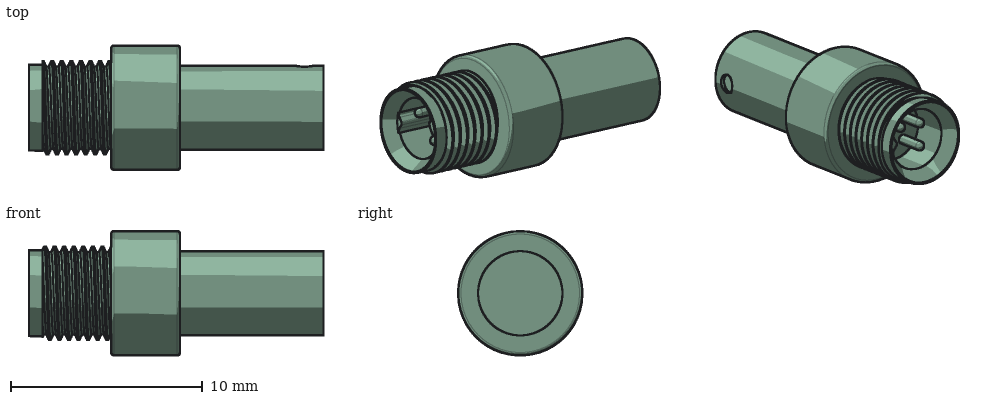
import cadquery as cq
import math

total_length = 15.4
thread_start = 0.72
collar_start = 4.3
collar_end = 7.9

nose_radius = 2.25
collar_radius = 3.25
tube_radius = 2.2
collar_fillet = 0.15

thread_turns = 7
thread_turns_length = 3.5
thread_pitch = thread_turns_length / thread_turns
thread_root_radius = 2.15
thread_crest_radius = 2.45
thread_base_width = 0.4
thread_crest_width = 0.08
thread_sink = 0.05
thread_start_angle = 90.0

bore_diameter = 3.25
bore_radius = bore_diameter / 2
mouth_diameter = 4.33
mouth_radius = mouth_diameter / 2
mouth_depth = 0.72

key_front = 0.66
key_half_angle = 55.0
key_apex = 1.28
key_tip_fillet = 0.15
key_root_fillet = 0.3
key_half_width = 0.55
key_outer_radius = 1.85

insert_front = 2.77
insert_back = collar_start

pin_radius = 0.25
pin_tip = 1.05
pin_spacing = 1.25
pin_offset = pin_spacing / 2
pin_corners = [(1, 1), (-1, 1), (-1, -1)]

dimple_x = 14.4
dimple_radius = 0.5
dimple_depth = 0.2


def revolve_about_x(outline):
    return outline.close().revolve(360, (0, 0, 0), (1, 0, 0))


def cylinder_along_x(radius, start, end):
    outline = (
        cq.Workplane("XZ")
        .moveTo(start, 0)
        .lineTo(start, radius)
        .lineTo(end, radius)
        .lineTo(end, 0)
    )
    return revolve_about_x(outline)


def make_socket_mouth():
    outline = (
        cq.Workplane("XZ")
        .lineTo(0, mouth_radius)
        .lineTo(mouth_depth, bore_radius)
        .lineTo(mouth_depth, 0)
    )
    return revolve_about_x(outline)


def make_thread():
    """Helical ridge, swept one turn too long at both ends and trimmed flat."""
    base_radius = thread_root_radius - thread_sink
    sweep_start = thread_start - thread_pitch
    sweep_length = collar_start - thread_start + 2 * thread_pitch
    helix = cq.Wire.makeHelix(thread_pitch, sweep_length, base_radius)
    ridge_profile = [
        (base_radius, -thread_base_width / 2),
        (thread_crest_radius, -thread_crest_width / 2),
        (thread_crest_radius, thread_crest_width / 2),
        (base_radius, thread_base_width / 2),
    ]
    ridge = cq.Workplane("XZ").polyline(ridge_profile).close()
    ridge = ridge.sweep(cq.Workplane(helix), isFrenet=True)
    ridge = ridge.rotate((0, 0, 0), (0, 0, 1), thread_start_angle)
    ridge = ridge.rotate((0, 0, 0), (0, 1, 0), 90).translate((sweep_start, 0, 0))
    return ridge.intersect(cylinder_along_x(collar_radius, thread_start, collar_start))


def make_key():
    """V rib with a rounded tip, blended into the socket wall."""
    key_length = insert_front - key_front
    wedge_depth = key_outer_radius - key_apex
    wedge_half_width = wedge_depth * math.tan(math.radians(key_half_angle))
    start_plane = cq.Workplane("YZ").workplane(offset=key_front)
    wedge_outline = [
        (key_apex, 0),
        (key_outer_radius, wedge_half_width),
        (key_outer_radius, -wedge_half_width),
    ]
    wedge = start_plane.polyline(wedge_outline).close().extrude(key_length)
    wedge = wedge.edges("|X and <Y").fillet(key_tip_fillet)
    wedge = wedge.intersect(cylinder_along_x(key_outer_radius, key_front, insert_front))

    wall = start_plane.circle(key_outer_radius).circle(bore_radius).extrude(key_length)
    rib = wall.union(wedge).edges("|X and (<Z or >Z)").fillet(key_root_fillet)
    middle = key_outer_radius / 2
    strip = start_plane.center(middle, 0).rect(key_outer_radius, 2 * key_half_width).extrude(key_length)
    return rib.intersect(strip)


def make_shell():
    """Threaded nose and collar around the keyed socket."""
    collar = cylinder_along_x(collar_radius, collar_start, collar_end)
    collar = collar.edges("%CIRCLE").fillet(collar_fillet)
    body = cylinder_along_x(nose_radius, 0, thread_start)
    body = body.union(cylinder_along_x(thread_root_radius, thread_start, collar_start))
    body = body.union(collar).union(make_thread())
    body = body.cut(cylinder_along_x(bore_radius, 0, insert_back))
    body = body.cut(make_socket_mouth())
    return body.union(make_key())


def make_tube():
    """Rear stub with a shallow round dimple."""
    tube = cylinder_along_x(tube_radius, collar_end, total_length)
    dimple_plane = cq.Workplane("XZ", origin=(dimple_x, tube_radius, 0))
    dimple = dimple_plane.circle(dimple_radius).extrude(dimple_depth)
    return tube.cut(dimple)


def make_pin(y, z):
    """Round pin with a hemispherical tip, its back end flush with the insert."""
    outline = (
        cq.Workplane("XZ")
        .moveTo(pin_tip, 0)
        .radiusArc((pin_tip + pin_radius, pin_radius), pin_radius)
        .lineTo(insert_back, pin_radius)
        .lineTo(insert_back, 0)
    )
    return revolve_about_x(outline).translate((0, y, z))


def make_insert(pins):
    """Plug that fills the bore, with a matching hole for each pin."""
    insert = cylinder_along_x(bore_radius, insert_front, insert_back)
    for pin in pins:
        insert = insert.cut(pin)
    return insert


shell = make_shell()
tube = make_tube()
pins = [make_pin(y_sign * pin_offset, z_sign * pin_offset) for y_sign, z_sign in pin_corners]
insert = make_insert(pins)

result = cq.Compound.makeCompound([shell.val(), tube.val(), insert.val(), *[pin.val() for pin in pins]])